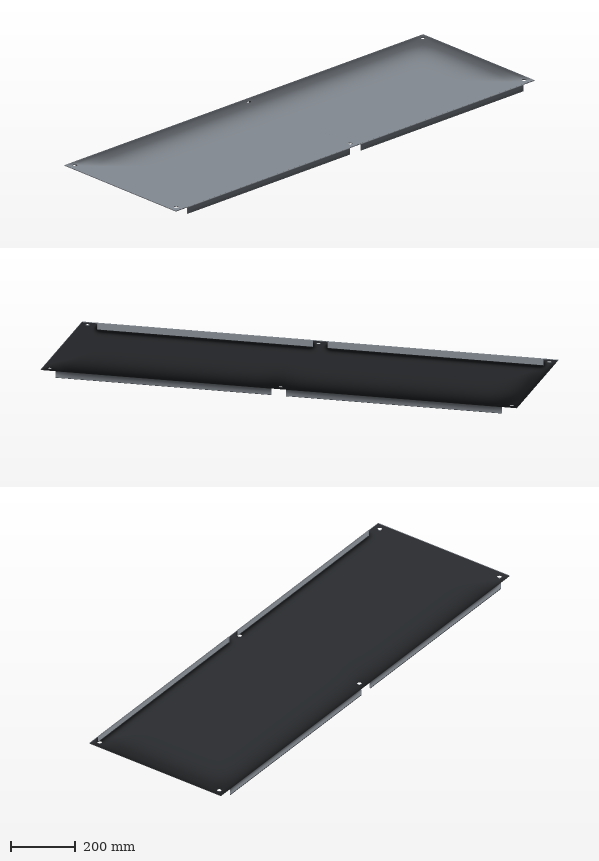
import cadquery as cq

length = 1524.0
width = 507.0
height = 23.0

sheet = 2.5
bend_inner_radius = 0.8
bend_outer_radius = bend_inner_radius + sheet
edge_setback = 2.3
flange_length = 690.0
flange_center = 369.0

hole_diameter = 14.3
hole_x = 229.0
hole_pitch_y = 739.0

plate_width = width - 2 * edge_setback


def make_plate():
    plate = cq.Workplane("XY").box(plate_width, length, sheet, centered=(True, True, False))
    return plate.translate((0, 0, height - sheet))


def make_flanged_section(center_y):
    """Inverted channel: top web with a downward flange bent along each side."""
    outer = cq.Workplane("XY").box(width, flange_length, height, centered=(True, True, False))
    inner = cq.Workplane("XY").box(
        width - 2 * sheet, flange_length, height - sheet, centered=(True, True, False)
    )
    outer = outer.edges("|Y and >Z").fillet(bend_outer_radius)
    inner = inner.edges("|Y and >Z").fillet(bend_inner_radius)
    return outer.cut(inner).translate((0, center_y, 0))


def make_holes():
    hole_points = [(x, row * hole_pitch_y) for x in (-hole_x, hole_x) for row in (-1, 0, 1)]
    return cq.Workplane("XY").pushPoints(hole_points).circle(hole_diameter / 2).extrude(height)


panel = make_plate()
for side in (-1, 1):
    panel = panel.union(make_flanged_section(side * flange_center))

result = panel.cut(make_holes())